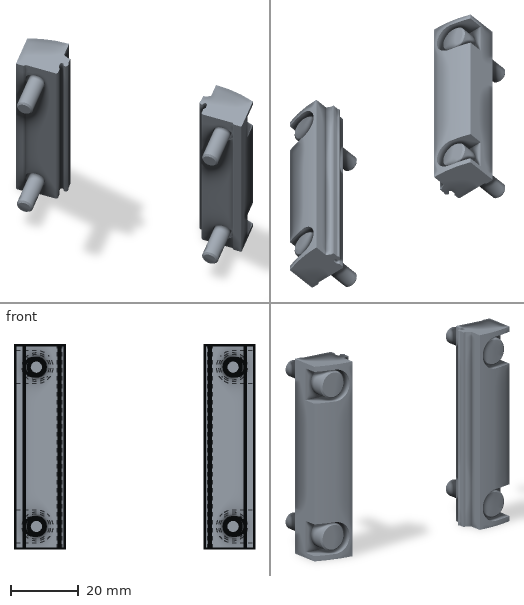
import cadquery as cq
import math

overall_width = 70.6
overall_depth = 22.7
rail_length = 60.0
screw_spacing = 47.0
screw_heights = [(rail_length + side * screw_spacing) / 2 for side in (-1, 1)]

body_width = 12.3
outer_height = 10.05
crown_height = 12.25
foot_width = 2.45
foot_height = 0.5
foot_chamfer = 0.2

neck_height = 7.85
neck_run = 1.5
lip_top = 7.1
lip_width = 14.5
bead_radius = 0.74
bead_reach = 14.72
bead_bottom = 3.95
bead_end_angle = 40
groove_top = 4.78

toe_width = 12.82
toe_top = 3.1
toe_shoulder = 2.5
toe_radius = 0.65

screw_inset = 6.3
shank_diameter = 5.0
head_diameter = 8.5
head_height = 5.25
head_chamfer = 0.5
tip_chamfer = 0.5
pocket_diameter = 9.8
pocket_depth = 6.8
clearance_diameter = 5.5
clearance_stretch = 0.7

screw_x = screw_inset - overall_width / 2
pocket_floor = crown_height - pocket_depth
screw_tip = crown_height - overall_depth


def rail_blank():
    """Left rail without its screw seats."""
    crown_rise = crown_height - outer_height
    crown_radius = (body_width**2 + crown_rise**2) / (2 * crown_rise)
    crown_mid_x = body_width / 2
    crown_mid_y = crown_height - crown_radius + math.sqrt(crown_radius**2 - crown_mid_x**2)

    bead_x = bead_reach - bead_radius
    bead_y = bead_bottom + bead_radius
    lip_end_y = bead_y + math.sqrt(bead_radius**2 - (lip_width - bead_x)**2)
    groove_end_x = bead_x - bead_radius * math.cos(math.radians(bead_end_angle))
    groove_end_y = bead_y - bead_radius * math.sin(math.radians(bead_end_angle))
    groove_mid_x = (body_width + groove_end_x) / 2

    section = (
        cq.Workplane("XY", origin=(-overall_width / 2, 0, 0))
        .moveTo(0, foot_chamfer)
        .lineTo(0, outer_height)
        .threePointArc((crown_mid_x, crown_mid_y), (body_width, crown_height))
        .lineTo(body_width, neck_height)
        .lineTo(body_width + neck_run, lip_top)
        .lineTo(lip_width, lip_top)
        .lineTo(lip_width, lip_end_y)
        .threePointArc((bead_x, bead_bottom), (groove_end_x, groove_end_y))
        .threePointArc((groove_mid_x, groove_top), (body_width, groove_end_y))
        .lineTo(body_width, toe_top)
        .lineTo(toe_width, toe_shoulder)
        .lineTo(toe_width, foot_height + toe_radius)
        .radiusArc((toe_width - toe_radius, foot_height), toe_radius)
        .lineTo(foot_width + foot_height, foot_height)
        .lineTo(foot_width, 0)
        .lineTo(foot_chamfer, 0)
        .close()
    )
    return section.extrude(rail_length)


def along_y(x, y, z):
    """Workplane at a point, with its normal along +Y."""
    return cq.Workplane("XZ", origin=(x, y, z)).transformed(rotate=(180, 0, 0))


def screw_seat(z):
    """Head pocket open to the outer face, and the clearance slot below it."""
    pocket = along_y(screw_x, pocket_floor, z).circle(pocket_diameter / 2).extrude(pocket_depth)
    mouth = cq.Workplane("XY").box(screw_inset, pocket_depth, pocket_diameter, centered=(False, False, True))
    mouth = mouth.translate((screw_x - screw_inset, pocket_floor, z))
    slot = (
        along_y(screw_x - clearance_stretch / 2, 0, z)
        .slot2D(clearance_diameter + clearance_stretch, clearance_diameter)
        .extrude(pocket_floor)
    )
    return pocket.union(mouth).union(slot)


def left_rail():
    rail = rail_blank()
    for z in screw_heights:
        rail = rail.cut(screw_seat(z))
    return rail


def left_screw(z):
    head = along_y(screw_x, pocket_floor, z).circle(head_diameter / 2).extrude(head_height)
    head = head.faces(">Y").chamfer(head_chamfer)
    shank = along_y(screw_x, screw_tip, z).circle(shank_diameter / 2).extrude(pocket_floor - screw_tip)
    shank = shank.faces("<Y").chamfer(tip_chamfer)
    return head.union(shank)


left_bodies = [left_rail()] + [left_screw(z) for z in screw_heights]
bodies = []
for body in left_bodies:
    bodies.append(body.val())
    bodies.append(body.mirror("YZ").val())

result = cq.Compound.makeCompound(bodies)